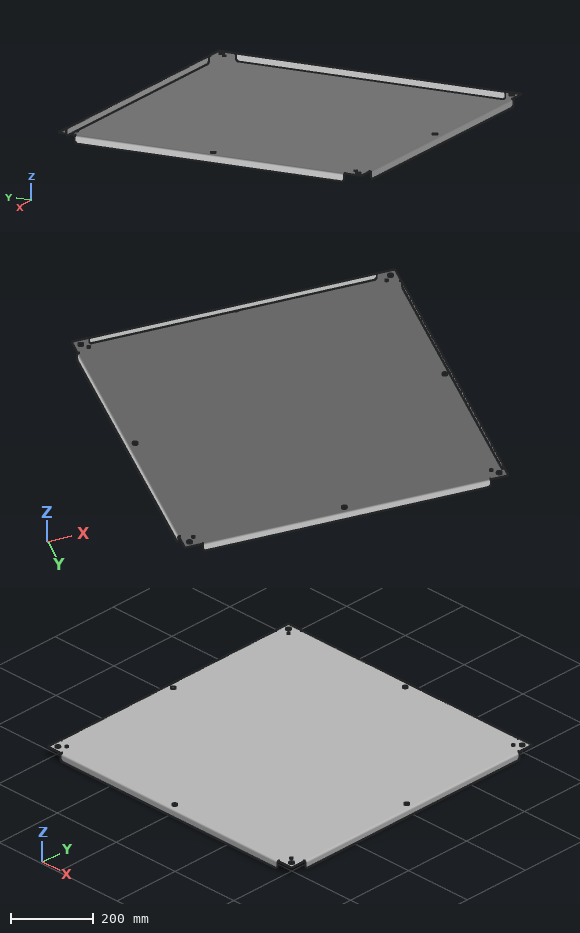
import cadquery as cq

side = 837.0
height = 22.0
thickness = 2.0

bend_radius = 7.0
corner_relief = 49.0
flange_length = side - 2 * corner_relief
flange_chamfer = 5.0

corner_setback = 3.0
plate_side = side - 2 * corner_setback
corner_radius = 3.0

mount_diameter = 12.5
mount_offset = 397.5
pilot_diameter = 7.1
pilot_offset = 382.0


def make_plate():
    """Flat sheet cut back to the bend start lines between the free corners."""
    plate = cq.Workplane("XY").box(plate_side, plate_side, thickness, centered=(True, True, False))
    plate = plate.edges("|Z").fillet(corner_radius).translate((0, 0, height - thickness))
    bend_start = side / 2 - bend_radius
    for angle in (0, 90, 180, 270):
        edge_strip = (
            cq.Workplane("XY")
            .box(bend_radius, flange_length, height, centered=(False, True, False))
            .translate((bend_start, 0, 0))
            .rotate((0, 0, 0), (0, 0, 1), angle)
        )
        plate = plate.cut(edge_strip)
    return plate


def make_flange():
    """Rounded bend and downturned flange on the +X side."""
    outer = side / 2
    inner = outer - thickness
    bend_start = outer - bend_radius
    bend_bottom = height - bend_radius
    return (
        cq.Workplane("XZ")
        .moveTo(bend_start, height)
        .radiusArc((outer, bend_bottom), bend_radius)
        .lineTo(outer, 0)
        .lineTo(inner, 0)
        .lineTo(inner, bend_bottom)
        .radiusArc((bend_start, height - thickness), -(bend_radius - thickness))
        .close()
        .extrude(flange_length / 2, both=True)
    )


def cut_flange_corners(flange):
    """Bevel the two lower corners of the +X flange."""
    for end in (-1, 1):
        tip = end * flange_length / 2
        corner = (
            cq.Workplane("YZ")
            .polyline([(tip, 0), (tip - end * flange_chamfer, 0), (tip, flange_chamfer)])
            .close()
            .extrude(side)
        )
        flange = flange.cut(corner)
    return flange


def drill(body, diameter, points):
    """Drill straight through the sheet at the given points."""
    return body.cut(cq.Workplane("XY").pushPoints(points).circle(diameter / 2).extrude(height))


def corner_points(offset):
    return [(x, y) for x in (-offset, offset) for y in (-offset, offset)]


mid_edge_points = [(mount_offset, 0), (-mount_offset, 0), (0, mount_offset), (0, -mount_offset)]

result = make_plate()
flange = cut_flange_corners(make_flange())
for angle in (0, 90, 180, 270):
    result = result.union(flange.rotate((0, 0, 0), (0, 0, 1), angle))
result = drill(result, mount_diameter, corner_points(mount_offset) + mid_edge_points)
result = drill(result, pilot_diameter, corner_points(pilot_offset))